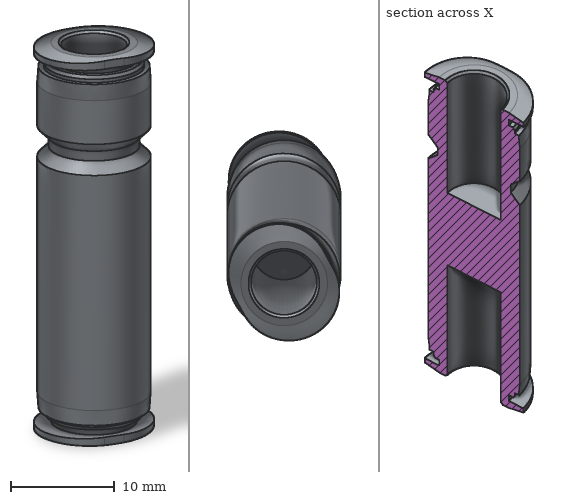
import cadquery as cq
import math

length = 39.8
half_length = length / 2

body_diameter = 11.0
groove_diameter = 8.8
collar_diameter = 9.74
neck_diameter = 8.35
bore_diameter = 6.35

flange_thickness = 1.0
neck_end = 1.7
collar_end = 2.4
taper_end = 4.0
collar_chamfer_width = 0.2
collar_chamfer_height = 0.35
taper_angle = 4.0

groove_start = 8.5
groove_floor_width = 1.0
groove_depth = (body_diameter - groove_diameter) / 2

flange_width = collar_diameter
flange_length = 11.8
flange_slope = 12.0
flange_direction = 90

bore_depth = 15.0
bore_chamfer = 0.25


def revolve_about_axis(outline):
    """Solid of revolution about Z from (radius, height) points."""
    full_turn = 360
    return cq.Workplane("XZ").polyline(outline).close().revolve(full_turn, (0, 0), (0, 1))


def end_barrel_points():
    """Radius and height of the upper barrel end, from the taper to the neck."""
    body_radius = body_diameter / 2
    collar_radius = collar_diameter / 2
    neck_radius = neck_diameter / 2
    taper_inset = (taper_end - collar_end) * math.tan(math.radians(taper_angle))
    return [
        (body_radius, half_length - taper_end),
        (body_radius - taper_inset, half_length - collar_end),
        (collar_radius, half_length - collar_end),
        (collar_radius, half_length - neck_end - collar_chamfer_height),
        (collar_radius - collar_chamfer_width, half_length - neck_end),
        (neck_radius, half_length - neck_end),
        (neck_radius, half_length),
    ]


def make_barrel():
    """Revolved barrel with a stepped end at both top and bottom."""
    upper_end = end_barrel_points()
    lower_end = [(radius, -height) for radius, height in reversed(upper_end)]
    outline = [(0, -half_length)] + lower_end + upper_end + [(0, half_length)]
    return revolve_about_axis(outline)


def make_groove():
    """Ring that cuts the V-sided groove into the barrel."""
    body_radius = body_diameter / 2
    groove_radius = groove_diameter / 2
    top = half_length - groove_start
    floor_top = top - groove_depth
    floor_bottom = floor_top - groove_floor_width
    bottom = floor_bottom - groove_depth
    outline = [
        (body_radius, top),
        (groove_radius, floor_top),
        (groove_radius, floor_bottom),
        (body_radius, bottom),
    ]
    return revolve_about_axis(outline)


def make_top_flange():
    """Slot-shaped plate at the top, trimmed by a shallow cone."""
    base = half_length - flange_thickness
    plate = (
        cq.Workplane("XY")
        .workplane(offset=base)
        .slot2D(flange_length, flange_width, flange_direction)
        .extrude(flange_thickness)
    )
    ring_radius = neck_diameter / 2
    rim_radius = flange_length / 2
    rim_drop = (rim_radius - ring_radius) * math.tan(math.radians(flange_slope))
    envelope_outline = [
        (0, base),
        (rim_radius, base),
        (rim_radius, half_length - rim_drop),
        (ring_radius, half_length),
        (0, half_length),
    ]
    envelope = revolve_about_axis(envelope_outline)
    return plate.intersect(envelope)


def make_top_bore():
    """Blind bore with a chamfered mouth, cut from the top face."""
    bore_radius = bore_diameter / 2
    outline = [
        (0, half_length - bore_depth),
        (bore_radius, half_length - bore_depth),
        (bore_radius, half_length - bore_chamfer),
        (bore_radius + bore_chamfer, half_length),
        (0, half_length),
    ]
    return revolve_about_axis(outline)


def with_mirror(feature):
    """Return a top-end feature and its mirror image at the bottom end."""
    return [feature, feature.mirror("XY")]


result = make_barrel().cut(make_groove())
for flange in with_mirror(make_top_flange()):
    result = result.union(flange)
for bore in with_mirror(make_top_bore()):
    result = result.cut(bore)